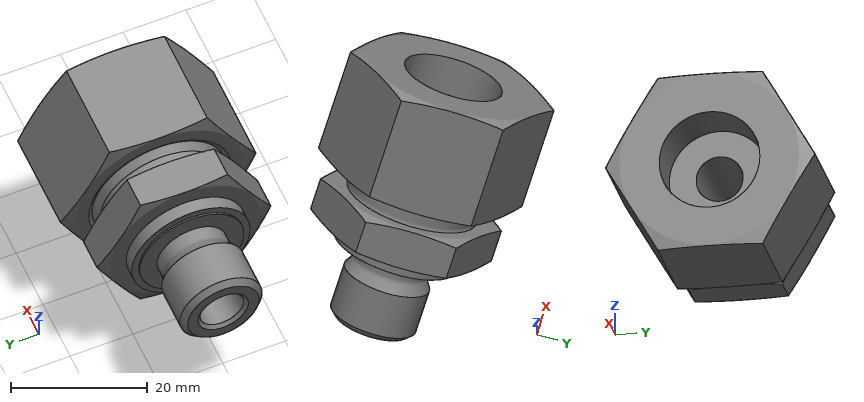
import cadquery as cq
import math


thread_end = 7.65
seal_face = 11.7
collar_face = 12.0
hex_start = 14.05
hex_length = 6.0
relief_end = 22.65
nut_start = 23.5
nut_end = 40.5
hex_end = hex_start + hex_length

thread_radius = 6.55
thread_chamfer = 0.9
neck_radius = 5.55
undercut_fillet = 1.3
taper_angle = math.radians(30)

collar_radius = 9.45
hex_width = 24.0
relief_radius = 9.85
relief_fillet_angle = math.radians(26)

spigot_radius = 10.6
spigot_depth = 8.9
spigot_end = nut_start + spigot_depth

bore_radius = 3.5
bore_chamfer = 0.53

seal_radius = 8.3
seal_thickness = 1.5
seal_back = seal_face + seal_thickness

nut_width = 27.0
outlet_radius = 7.5
nut_mouth_radius = 11.35
nut_mouth_depth = (nut_mouth_radius - spigot_radius) * math.tan(taper_angle)

corner_angle = math.radians(15)
hex_half_angle = math.radians(30)
corner_land = 0.99


def turned(profile):
    """Solid of revolution of a closed half profile around the X axis."""
    return profile.revolve(360, (0, 0, 0), (1, 0, 0))


def cylinder(radius, start, end):
    """Cylinder around the X axis between two stations."""
    return cq.Workplane("YZ").workplane(offset=start).circle(radius).extrude(end - start)


def chamfered_hexagon(width, start, end):
    """Hexagonal prism with corners on the Y axis and turned-down corners at both ends."""
    corner_radius = width / 2 / math.cos(hex_half_angle)
    land_radius = corner_land * width / 2
    corner_depth = (corner_radius - land_radius) * math.tan(corner_angle)
    prism = cq.Workplane("YZ").workplane(offset=start).polygon(6, 2 * corner_radius).extrude(end - start)
    turned_blank = turned(
        cq.Workplane("XY")
        .moveTo(start, 0)
        .lineTo(start, land_radius)
        .lineTo(start + corner_depth, corner_radius)
        .lineTo(end - corner_depth, corner_radius)
        .lineTo(end, land_radius)
        .lineTo(end, 0)
        .close()
    )
    return prism.intersect(turned_blank)


def fillet_rise(angle):
    """Radial rise of an undercut fillet that turns through the given angle."""
    return undercut_fillet * (1 - math.cos(angle))


fillet_top_radius = neck_radius + fillet_rise(taper_angle)
cone_end = thread_end + (thread_radius - fillet_top_radius) / math.tan(taper_angle)
neck_start = cone_end + undercut_fillet * math.sin(taper_angle)
fillet_middle = (
    neck_start - undercut_fillet * math.sin(taper_angle / 2),
    neck_radius + fillet_rise(taper_angle / 2),
)

relief_start = hex_end + undercut_fillet * math.sin(relief_fillet_angle)
relief_fillet_middle = (
    relief_start - undercut_fillet * math.sin(relief_fillet_angle / 2),
    relief_radius + fillet_rise(relief_fillet_angle / 2),
)
spigot_start = relief_end + (spigot_radius - relief_radius) / math.tan(taper_angle)


def make_stud():
    """Turned screw-in end: chamfered thread, undercut, neck and collar with the seal recess."""
    return turned(
        cq.Workplane("XY")
        .moveTo(0, 0)
        .lineTo(0, thread_radius - thread_chamfer)
        .lineTo(thread_chamfer, thread_radius)
        .lineTo(thread_end, thread_radius)
        .lineTo(cone_end, fillet_top_radius)
        .threePointArc(fillet_middle, (neck_start, neck_radius))
        .lineTo(seal_back, neck_radius)
        .lineTo(seal_back, seal_radius)
        .lineTo(collar_face, seal_radius)
        .lineTo(collar_face, collar_radius)
        .lineTo(hex_start, collar_radius)
        .lineTo(hex_start, 0)
        .close()
    )


def make_spigot():
    """Turned tube end: relief groove and the plain spigot that enters the nut."""
    return turned(
        cq.Workplane("XY")
        .moveTo(hex_end, 0)
        .lineTo(hex_end, relief_radius + fillet_rise(relief_fillet_angle))
        .threePointArc(relief_fillet_middle, (relief_start, relief_radius))
        .lineTo(relief_end, relief_radius)
        .lineTo(spigot_start, spigot_radius)
        .lineTo(spigot_end, spigot_radius)
        .lineTo(spigot_end, 0)
        .close()
    )


def make_bore():
    """Cutter for the through bore with its chamfered mouth at the screw-in end."""
    return turned(
        cq.Workplane("XY")
        .moveTo(0, 0)
        .lineTo(0, bore_radius + bore_chamfer)
        .lineTo(bore_chamfer, bore_radius)
        .lineTo(spigot_end, bore_radius)
        .lineTo(spigot_end, 0)
        .close()
    )


def make_fitting_body():
    """Stud, wrench hexagon and spigot in one piece, with the bore through all of them."""
    hexagon = chamfered_hexagon(hex_width, hex_start, hex_end)
    return make_stud().union(hexagon).union(make_spigot()).cut(make_bore())


def make_seal_ring():
    """Flat ring around the neck that fills the collar recess and stands slightly proud."""
    ring = cylinder(seal_radius, seal_face, seal_back)
    return ring.cut(cylinder(neck_radius, seal_face, seal_back))


def make_union_nut():
    """Hexagon nut with a countersunk socket for the spigot and a tube outlet."""
    hexagon = chamfered_hexagon(nut_width, nut_start, nut_end)
    socket = turned(
        cq.Workplane("XY")
        .moveTo(nut_start, 0)
        .lineTo(nut_start, nut_mouth_radius)
        .lineTo(nut_start + nut_mouth_depth, spigot_radius)
        .lineTo(spigot_end, spigot_radius)
        .lineTo(spigot_end, 0)
        .close()
    )
    outlet = cylinder(outlet_radius, spigot_end, nut_end)
    return hexagon.cut(socket).cut(outlet)


fitting_body = make_fitting_body()
seal_ring = make_seal_ring()
union_nut = make_union_nut()

result = cq.Compound.makeCompound([fitting_body.val(), seal_ring.val(), union_nut.val()])